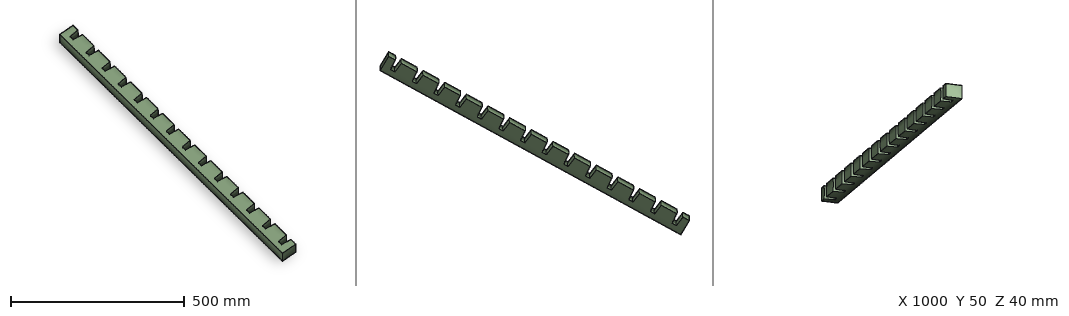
import cadquery as cq

length = 1000.0
width = 50.0
height = 40.0

slot_count = 14
slot_pitch = 72.0
slot_depth = 32.0

slot_floor = 14.0
wall_flare = 3.2
slot_mouth = slot_floor + 2 * wall_flare
wall_bulge = 1.8

mouth_y = width / 2
floor_y = mouth_y - slot_depth


def waisted_section(slot, center_x, section_width):
    """Closed X-Z section whose two sides curve in towards each other at mid-height."""
    left = center_x - section_width / 2
    right = center_x + section_width / 2
    return (
        slot.moveTo(left, 0)
        .lineTo(right, 0)
        .threePointArc((right - wall_bulge, height / 2), (right, height))
        .lineTo(left, height)
        .threePointArc((left + wall_bulge, height / 2), (left, 0))
        .close()
    )


def waisted_slot(center_x):
    """Cutter that widens from the slot floor out to its mouth."""
    floor_plane = cq.Workplane("XZ", origin=(0, floor_y, 0))
    floor = waisted_section(floor_plane, center_x, slot_floor)
    mouth = waisted_section(floor.workplane(offset=-slot_depth), center_x, slot_mouth)
    return mouth.loft(ruled=True)


result = cq.Workplane("XY").box(length, width, height, centered=(True, True, False))

first_slot_x = -slot_pitch * (slot_count - 1) / 2
for index in range(slot_count):
    result = result.cut(waisted_slot(first_slot_x + index * slot_pitch))